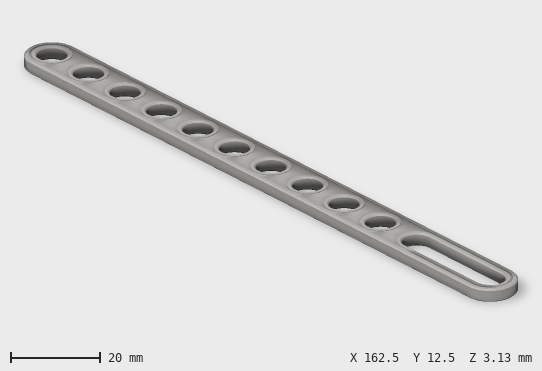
import cadquery as cq

length = 162.5
hole_count = 10
pitches_along_bar = 13
hole_diameter = 7.0
rim_width = 1.1
recess_depth = 0.2
edge_chamfer = 0.31

pitch = length / pitches_along_bar
width = pitch
thickness = pitch / 4
bottom_z = -thickness / 2
recess_floor_z = thickness / 2 - recess_depth
rim_diameter = hole_diameter + 2 * rim_width

first_hole_x = -length / 2 + pitch / 2
hole_centres = [(first_hole_x + i * pitch, 0) for i in range(hole_count)]
slot_start_x = first_hole_x + hole_count * pitch
slot_end_x = length / 2 - pitch / 2
slot_centre_x = (slot_start_x + slot_end_x) / 2
slot_centre_spacing = slot_end_x - slot_start_x


def stadium(overall_length, overall_width, centre_x, base_z, height):
    """Solid with straight sides and full round ends, lying along X."""
    return (
        cq.Workplane("XY", origin=(centre_x, 0, base_z))
        .slot2D(overall_length, overall_width)
        .extrude(height)
    )


def openings(diameter, base_z, height):
    """Row of round plugs followed by one long slot-shaped plug of the same width."""
    holes = (
        cq.Workplane("XY", origin=(0, 0, base_z))
        .pushPoints(hole_centres)
        .circle(diameter / 2)
        .extrude(height)
    )
    slot = stadium(slot_centre_spacing + diameter, diameter, slot_centre_x, base_z, height)
    return holes.union(slot)


def chamfered_bar():
    """Flat bar with its through openings, every top and bottom edge chamfered."""
    bar = stadium(length, width, 0, bottom_z, thickness)
    bar = bar.cut(openings(hole_diameter, bottom_z, thickness))
    return bar.faces("|Z").edges().chamfer(edge_chamfer)


def top_recess():
    """Shallow pocket inside the border, interrupted by a ring around every opening."""
    pocket = stadium(
        length - 2 * rim_width,
        width - 2 * rim_width,
        0,
        recess_floor_z,
        recess_depth,
    )
    return pocket.cut(openings(rim_diameter, recess_floor_z, recess_depth))


result = chamfered_bar().cut(top_recess())